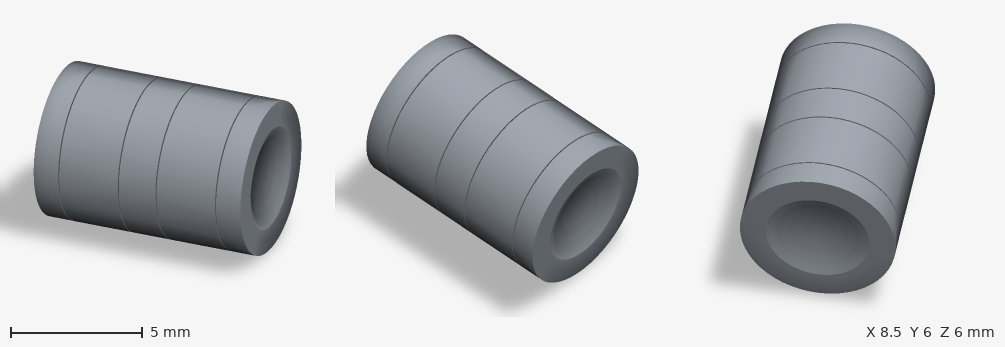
import cadquery as cq
import math

overall_length = 8.5
outer_diameter = 6.0
end_thickness = 1.0
center_thickness = 1.5
gap = 0.05
dish_diameter = 4.0
dish_sphere_radius = 4.7

gap_count = 4
spacer_thickness = (overall_length - 2 * end_thickness - center_thickness - gap_count * gap) / 2
spacer_offset = center_thickness / 2 + gap + spacer_thickness / 2
end_face_x = overall_length / 2
dish_depth = dish_sphere_radius - math.sqrt(dish_sphere_radius**2 - (dish_diameter / 2) ** 2)


def make_disc(thickness, center_x):
    """Plain round disc with its axis along X, centred at center_x."""
    return (
        cq.Workplane("YZ", origin=(center_x - thickness / 2, 0, 0))
        .circle(outer_diameter / 2)
        .extrude(thickness)
    )


def make_end_disc(side):
    """End disc with a shallow spherical dish in its outer face; side is -1 or +1 along X."""
    outer_x = side * end_face_x
    inner_x = side * (end_face_x - end_thickness)
    dish_bottom_x = side * (end_face_x - dish_depth)
    half_section = (
        cq.Workplane("XY")
        .moveTo(inner_x, 0)
        .lineTo(inner_x, -outer_diameter / 2)
        .lineTo(outer_x, -outer_diameter / 2)
        .lineTo(outer_x, -dish_diameter / 2)
        .radiusArc((dish_bottom_x, 0), side * dish_sphere_radius)
        .close()
    )
    return half_section.revolve(360, (0, 0, 0), (1, 0, 0))


def make_spacer(side):
    """Long plain disc between the center disc and an end disc."""
    return make_disc(spacer_thickness, side * spacer_offset)


center_disc = make_disc(center_thickness, 0)

bodies = [center_disc.val()]
for side in (-1, 1):
    bodies.append(make_spacer(side).val())
    bodies.append(make_end_disc(side).val())

result = cq.Compound.makeCompound(bodies)